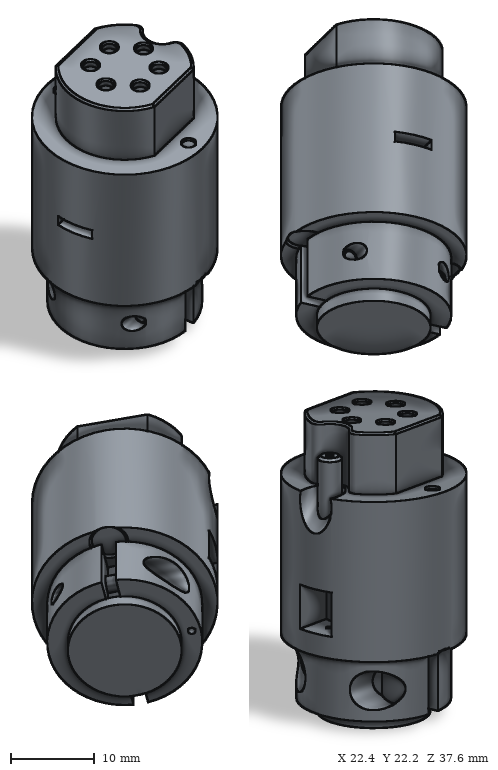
import cadquery as cq
import math

total_height = 37.6
spigot_top = 1.65
collar_top = 9.4
body_bottom = 9.75
body_top = 29.9
pin_top = 34.17

spigot_radius = 6.8
collar_radius = 9.3
neck_radius = 5.55
body_diameter = 22.2
body_radius = body_diameter / 2

plug_radius = 8.27
plug_flat_x = 7.05
plug_chamfer_width = 0.35
plug_chamfer_height = 0.23
notch_radius = 2.33
notch_corner_radius = 1.13

pin_y = 8.2
pin_radius = 1.45
pin_chamfer = 0.38
pin_bore_radius = 0.45

pocket_radius = 2.45
pocket_axis_y = 9.77
pocket_tilt = 45.0

socket_count = 6
socket_circle_radius = 4.1
socket_radius = 0.9
socket_rim_radius = 1.13
socket_depth = 0.95

overall_width = 22.35
body_screw_x = 9.15
body_screw_radius = 0.9
body_screw_recess = 0.38
countersink_radius = 2.33
body_screw_head_radius = overall_width / 2 - body_screw_x

window_width = 4.9
window_floor_radius = 6.4
front_window_bottom = 19.47
front_window_top = 20.8
back_window_bottom = 12.5
back_window_top = 18.08

slit_width = 1.75
clamp_x = 5.9
clamp_z = (spigot_top + collar_top) / 2
clamp_screw_radius = 1.13
clamp_screw_chamfer = 0.4
clamp_screw_end_y = -5.25
clamp_head_radius = 2.45
clamp_head_floor_y = 3.57


def cylinder(radius, bottom, top, x=0.0, y=0.0):
    """Vertical cylinder between two heights."""
    return cq.Workplane("XY", origin=(x, y, bottom)).circle(radius).extrude(top - bottom)


def cone(bottom_radius, top_radius, height, base, axis):
    """Cone frustum starting at base and running along axis."""
    return cq.Workplane(
        cq.Solid.makeCone(bottom_radius, top_radius, height, cq.Vector(*base), cq.Vector(*axis))
    )


def cylinder_along_y(radius, start_y, end_y, x):
    """Clamp-height cylinder parallel to Y."""
    base = cq.Vector(x, start_y, clamp_z)
    return cq.Workplane(cq.Solid.makeCylinder(radius, end_y - start_y, base, cq.Vector(0, 1, 0)))


def make_plug():
    height = total_height - body_top
    plug = cylinder(plug_radius, body_top, total_height)
    plug = plug.intersect(
        cq.Workplane("XY", origin=(0, 0, body_top))
        .rect(2 * plug_flat_x, 2 * plug_radius)
        .extrude(height)
    )
    plug = plug.cut(cylinder(notch_radius, body_top, total_height, y=pin_y))

    corner_y = (plug_radius**2 - notch_radius**2 + pin_y**2) / (2 * pin_y)
    corner_x = math.sqrt(plug_radius**2 - corner_y**2)
    for x in (-corner_x, corner_x):
        corner = cq.selectors.NearestToPointSelector((x, corner_y, body_top + height / 2))
        plug = plug.edges("|Z").edges(corner).fillet(notch_corner_radius)

    return plug.faces(">Z").chamfer(plug_chamfer_height, plug_chamfer_width)


def make_socket(x, y):
    rim_height = socket_rim_radius - socket_radius
    bore = cylinder(socket_radius, total_height - socket_depth, total_height, x, y)
    rim = cone(
        socket_radius, socket_rim_radius, rim_height, (x, y, total_height - rim_height), (0, 0, 1)
    )
    return bore.union(rim)


def make_window(bottom, top, side):
    """Window cutter open to +Y (side = 1) or -Y (side = -1)."""
    slab = (
        cq.Workplane("XY", origin=(0, side * body_radius / 2, bottom))
        .rect(window_width, body_radius)
        .extrude(top - bottom)
    )
    return slab.cut(cylinder(window_floor_radius, bottom, top))


def make_pin_pocket():
    """Round cutter sloping down and outward through the upper rim of the body."""
    tilt = math.radians(pocket_tilt)
    axis = cq.Vector(0, math.cos(tilt), -math.sin(tilt))
    reach = body_radius
    start = cq.Vector(0, pocket_axis_y, body_top) - axis * reach
    return cq.Workplane(cq.Solid.makeCylinder(pocket_radius, 2 * reach, start, axis))


def make_body():
    body = cylinder(body_radius, body_bottom, body_top)
    body = body.cut(make_pin_pocket())
    body = body.cut(make_window(front_window_bottom, front_window_top, -1))
    body = body.cut(make_window(back_window_bottom, back_window_top, 1))

    head_height = body_screw_head_radius - body_screw_radius
    countersink_depth = countersink_radius - body_screw_radius
    head_bottom = body_bottom + countersink_depth - head_height
    for x in (-body_screw_x, body_screw_x):
        recess = cylinder(body_screw_radius, body_top - body_screw_recess, body_top, x)
        countersink = cone(
            countersink_radius, body_screw_radius, countersink_depth, (x, 0, body_bottom), (0, 0, 1)
        )
        head = cone(
            body_screw_head_radius, body_screw_radius, head_height, (x, 0, head_bottom), (0, 0, 1)
        )
        body = body.cut(recess).cut(countersink).union(head)
    return body


def make_collar():
    collar = cylinder(collar_radius, spigot_top, collar_top)
    slit = (
        cq.Workplane("XY", origin=(0, 0, spigot_top))
        .rect(2 * collar_radius, slit_width)
        .extrude(collar_top - spigot_top)
    )
    collar = collar.cut(slit)

    screw_tip_radius = clamp_screw_radius - clamp_screw_chamfer
    for x in (-clamp_x, clamp_x):
        shaft = cylinder_along_y(clamp_screw_radius, -slit_width, slit_width, x)
        tip = cone(
            clamp_screw_radius,
            screw_tip_radius,
            clamp_screw_chamfer,
            (x, clamp_screw_end_y, clamp_z),
            (0, -1, 0),
        )
        thread_hole = cylinder_along_y(clamp_screw_radius, -collar_radius, clamp_screw_end_y, x)
        head_bore = cylinder_along_y(clamp_head_radius, clamp_head_floor_y, collar_radius, x)
        collar = collar.union(shaft).cut(thread_hole).cut(head_bore).union(tip)
    return collar


result = (
    cylinder(spigot_radius, 0, spigot_top)
    .union(make_collar())
    .union(cylinder(neck_radius, 0, body_bottom))
    .union(make_body())
    .union(make_plug())
)

pin = cylinder(pin_radius, back_window_top, pin_top, y=pin_y).faces(">Z").chamfer(pin_chamfer)
result = result.union(pin).cut(cylinder(pin_bore_radius, 0, pin_top, y=pin_y))

for index in range(socket_count):
    angle = math.radians(90 + index * 360 / socket_count)
    socket_x = socket_circle_radius * math.cos(angle)
    socket_y = socket_circle_radius * math.sin(angle)
    result = result.cut(make_socket(socket_x, socket_y))